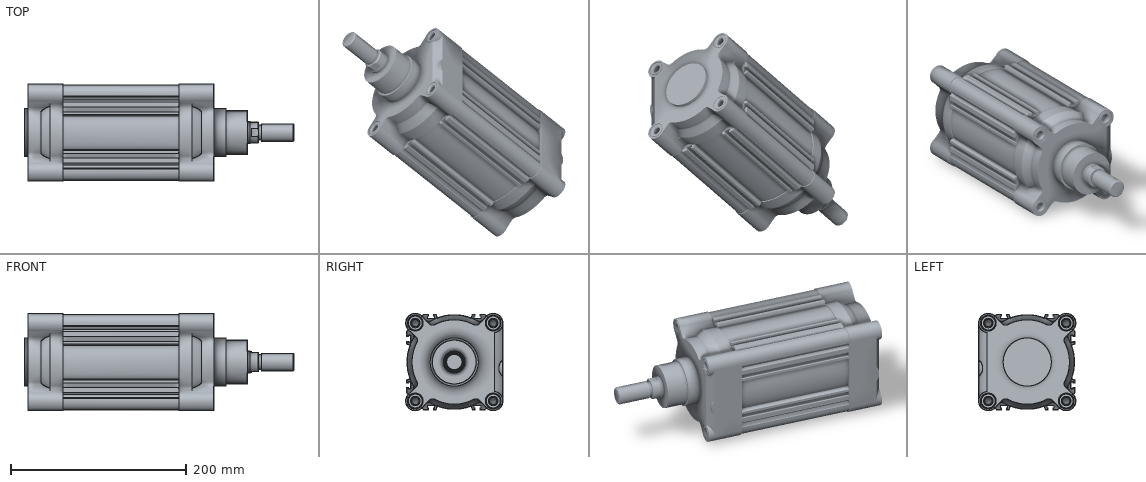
import cadquery as cq
import math


REAR_PILOT_LENGTH = 4.0
CAP_LENGTH = 40.0
BARREL_LENGTH = 132.5
FRONT_PILOT_LENGTH = 14.0
COLLAR_LENGTH = 24.2
OVERALL_LENGTH = 308.0

REAR_FACE = REAR_PILOT_LENGTH
BARREL_START = REAR_FACE + CAP_LENGTH
BARREL_END = BARREL_START + BARREL_LENGTH
FRONT_FACE = BARREL_END + CAP_LENGTH
COLLAR_START = FRONT_FACE + FRONT_PILOT_LENGTH
COLLAR_END = COLLAR_START + COLLAR_LENGTH

CORNER_OFFSET = 44.5
CAP_CORNER_RADIUS = 11.0
BARREL_CORNER_RADIUS = 10.0
CAP_HALF_WIDTH = CORNER_OFFSET + CAP_CORNER_RADIUS
BARREL_HALF_WIDTH = CORNER_OFFSET + BARREL_CORNER_RADIUS
CORNER_SIGNS = [(1, 1), (-1, 1), (-1, -1), (1, -1)]

CAP_FACE_RADIUS = 48.2
CAP_RIM_RADIUS = 54.0
CAP_RIM_LENGTH = 15.0
REAR_STRAIGHT_LENGTH = 14.8
FRONT_STRAIGHT_LENGTH = 14.0
CAP_ARM_HALF_WIDTH = 10.7
CAP_FILLET = 5.0
PILOT_RADIUS = 27.5
COLLAR_RADIUS = 25.0

SIDE_CHAMFER_DEPTH = 9.6
SIDE_CHAMFER_ANGLE = 35.0
PORT_BOSS_RADIUS = 16.5
PORT_BOSS_Z = -7.0

SCREW_HEAD_RADIUS = 8.0
SCREW_RECESS_RADIUS = 9.0
SCREW_RECESS_DEPTH = 1.0
SCREW_HOLE_RADIUS = 4.2
SCREW_HOLE_DEPTH = 20.0
SCREW_COUNTERSINK = 1.2
DRILL_POINT_ANGLE = 118.0

BARREL_RADIUS = 53.0
GROOVE_OUTER = 41.5
GROOVE_INNER = 37.3
RAIL_BEVEL = 2.4
RAIL_INNER = 20.8
RAIL_FOOT = 19.1
SLOT_CENTER = 26.5
SLOT_OPENING = 5.6
SLOT_WIDTH = 7.6
SLOT_LIP = 2.0
SLOT_DEPTH = 4.6

ROD_RADIUS = 12.5
ROD_EXPOSED_LENGTH = 2.8
SHANK_RADIUS = 12.0
SHANK_LENGTH = 10.0
SHANK_CHAMFER = 1.0
FLAT_LENGTH = 8.3
ACROSS_FLATS = 22.0
NECK_RADIUS = 8.8
NECK_LENGTH = 3.5
THREAD_RADIUS = 10.0
THREAD_CHAMFER = 1.2


def cylinder(radius, start, end, y=0.0, z=0.0):
    """Round bar along X between two X positions."""
    return cq.Workplane("YZ", origin=(start, y, z)).circle(radius).extrude(end - start)


def revolve_about_x(points, y=0.0, z=0.0):
    """Solid of revolution about X, from (x, radius) points."""
    return (
        cq.Workplane("XY", origin=(0, y, z))
        .polyline(points)
        .close()
        .revolve(360, (0, 0, 0), (1, 0, 0))
    )


def cap_section(round_radius, start, length):
    """Round body with a rounded arm on each diagonal, blended by fillets."""
    blend_radius = round_radius + CAP_FILLET
    blend_offset = CAP_ARM_HALF_WIDTH + CAP_FILLET
    blend_reach = math.sqrt(blend_radius**2 - blend_offset**2)
    corner_reach = CORNER_OFFSET * math.sqrt(2)
    arm_end = corner_reach - math.sqrt(CAP_CORNER_RADIUS**2 - CAP_ARM_HALF_WIDTH**2)
    across = -math.pi / 2
    to_axis = math.atan2(-blend_offset, -blend_reach)
    fillet_middle = (across + to_axis) / 2

    arm_point = (blend_reach, CAP_ARM_HALF_WIDTH)
    middle_point = (
        blend_reach + CAP_FILLET * math.cos(fillet_middle),
        blend_offset + CAP_FILLET * math.sin(fillet_middle),
    )
    round_scale = round_radius / blend_radius
    round_point = (blend_reach * round_scale, blend_offset * round_scale)

    def turned(point, angle, side=1):
        along, sideways = point[0], point[1] * side
        cosine, sine = math.cos(angle), math.sin(angle)
        return (along * cosine - sideways * sine, along * sine + sideways * cosine)

    first_angle = math.pi / 4
    outline = cq.Workplane("YZ", origin=(start, 0, 0)).moveTo(*turned(round_point, first_angle, -1))
    for quarter in range(4):
        angle = first_angle + quarter * math.pi / 2
        next_angle = angle + math.pi / 2
        outline = (
            outline.threePointArc(turned(middle_point, angle, -1), turned(arm_point, angle, -1))
            .lineTo(*turned((arm_end, CAP_ARM_HALF_WIDTH), angle, -1))
            .threePointArc(
                turned((corner_reach + CAP_CORNER_RADIUS, 0), angle),
                turned((arm_end, CAP_ARM_HALF_WIDTH), angle),
            )
            .lineTo(*turned(arm_point, angle))
            .threePointArc(turned(middle_point, angle), turned(round_point, angle))
            .threePointArc(
                turned((round_radius, 0), angle + math.pi / 4),
                turned(round_point, next_angle, -1),
            )
        )
    return outline.close().extrude(length)


def finish_flat_side(cap):
    """Fill the +Y side flush with the corners, chamfer its outer end and add the port boss."""
    chamfer_length = SIDE_CHAMFER_DEPTH * math.tan(math.radians(SIDE_CHAMFER_ANGLE))
    chamfer_start = CAP_HALF_WIDTH - SIDE_CHAMFER_DEPTH
    block = (
        cq.Workplane("YZ")
        .moveTo(0, 0)
        .lineTo(CORNER_OFFSET, CORNER_OFFSET)
        .lineTo(CAP_HALF_WIDTH, CORNER_OFFSET)
        .lineTo(CAP_HALF_WIDTH, -CORNER_OFFSET)
        .lineTo(CORNER_OFFSET, -CORNER_OFFSET)
        .close()
        .extrude(CAP_LENGTH)
    )
    wedge = (
        cq.Workplane("XY", origin=(0, 0, -CORNER_OFFSET))
        .moveTo(0, chamfer_start)
        .lineTo(0, CAP_HALF_WIDTH)
        .lineTo(chamfer_length, CAP_HALF_WIDTH)
        .close()
        .extrude(2 * CORNER_OFFSET)
    )
    port_boss = (
        cq.Workplane("XZ")
        .center(CAP_LENGTH / 2, PORT_BOSS_Z)
        .circle(PORT_BOSS_RADIUS)
        .extrude(-CAP_HALF_WIDTH)
    )
    finished = cap.union(block).cut(wedge).union(port_boss)
    for sign_z in (1, -1):
        finished = finished.union(
            cylinder(CAP_CORNER_RADIUS, 0, CAP_LENGTH, CORNER_OFFSET, sign_z * CORNER_OFFSET)
        )
    return finished


def screw_cut(y, z):
    """Ring gap around a tie screw head and the countersunk hole in the screw."""
    gap = cylinder(SCREW_RECESS_RADIUS, 0, SCREW_RECESS_DEPTH, y, z).cut(
        cylinder(SCREW_HEAD_RADIUS, 0, SCREW_RECESS_DEPTH, y, z)
    )
    point_length = SCREW_HOLE_RADIUS / math.tan(math.radians(DRILL_POINT_ANGLE / 2))
    hole = revolve_about_x(
        [
            (0, 0),
            (0, SCREW_HOLE_RADIUS + SCREW_COUNTERSINK),
            (SCREW_COUNTERSINK, SCREW_HOLE_RADIUS),
            (SCREW_HOLE_DEPTH, SCREW_HOLE_RADIUS),
            (SCREW_HOLE_DEPTH + point_length, 0),
        ],
        y,
        z,
    )
    return gap, hole


def make_cap(straight_length):
    """Cap with its outer face at X = 0 and the barrel side at X = CAP_LENGTH."""
    rim_start = CAP_LENGTH - CAP_RIM_LENGTH
    cone = revolve_about_x(
        [
            (straight_length, 0),
            (straight_length, CAP_FACE_RADIUS),
            (rim_start, CAP_RIM_RADIUS),
            (rim_start, 0),
        ]
    )
    cap = (
        cap_section(CAP_FACE_RADIUS, 0, CAP_LENGTH)
        .union(cone)
        .union(cap_section(CAP_RIM_RADIUS, rim_start, CAP_RIM_LENGTH))
    )
    cap = finish_flat_side(cap)
    for sign_y, sign_z in CORNER_SIGNS:
        for cutter in screw_cut(sign_y * CORNER_OFFSET, sign_z * CORNER_OFFSET):
            cap = cap.cut(cutter)
    return cap


def make_rear_cap():
    cap = make_cap(REAR_STRAIGHT_LENGTH).translate((REAR_FACE, 0, 0))
    return cap.union(cylinder(PILOT_RADIUS, 0, REAR_FACE))


def make_front_cap():
    """Mirrored cap with a pilot and collar, bored through for the rod."""
    cap = make_cap(FRONT_STRAIGHT_LENGTH).mirror("YZ").translate((FRONT_FACE, 0, 0))
    return (
        cap.union(cylinder(PILOT_RADIUS, FRONT_FACE, COLLAR_START))
        .union(cylinder(COLLAR_RADIUS, COLLAR_START, COLLAR_END))
        .cut(cylinder(ROD_RADIUS, BARREL_END, COLLAR_END))
    )


def make_barrel():
    """Round barrel with corner columns and a slotted rail on both sides of each column."""
    half_width = BARREL_HALF_WIDTH
    groove_floor = half_width - (GROOVE_OUTER - GROOVE_INNER)
    rail_outline = [
        (RAIL_FOOT, 0),
        (RAIL_FOOT, groove_floor),
        (RAIL_INNER, half_width),
        (GROOVE_INNER - RAIL_BEVEL, half_width),
        (GROOVE_INNER, half_width - RAIL_BEVEL),
        (GROOVE_INNER, groove_floor),
        (GROOVE_OUTER, half_width),
        (CORNER_OFFSET, half_width),
        (CORNER_OFFSET, CORNER_OFFSET),
    ]
    rail = (
        cq.Workplane("YZ", origin=(BARREL_START, 0, 0)).polyline(rail_outline).close().extrude(BARREL_LENGTH)
    )

    def slot_layer(width, depth):
        return (
            cq.Workplane("YZ", origin=(BARREL_START, SLOT_CENTER, half_width))
            .rect(width, 2 * depth)
            .extrude(BARREL_LENGTH)
        )

    lips = slot_layer(SLOT_WIDTH, SLOT_LIP).cut(slot_layer(SLOT_OPENING, SLOT_LIP))
    slot = slot_layer(SLOT_WIDTH, SLOT_DEPTH).cut(lips)

    barrel = cylinder(BARREL_RADIUS, BARREL_START, BARREL_END)
    for sign_y, sign_z in CORNER_SIGNS:
        barrel = barrel.union(
            cylinder(
                BARREL_CORNER_RADIUS, BARREL_START, BARREL_END, sign_y * CORNER_OFFSET, sign_z * CORNER_OFFSET
            )
        )
    slots = []
    for quarter in range(4):
        for handed_rail, handed_slot in [(rail, slot), (rail.mirror("XZ"), slot.mirror("XZ"))]:
            turn = ((0, 0, 0), (1, 0, 0), 90 * quarter)
            barrel = barrel.union(handed_rail.rotate(*turn))
            slots.append(handed_slot.rotate(*turn))
    for side_slot in slots:
        barrel = barrel.cut(side_slot)
    return barrel


def make_rod():
    """Rod from the barrel end to the threaded tip, with a necked shank and two spanner flats."""
    shank_start = COLLAR_END + ROD_EXPOSED_LENGTH
    shank_end = shank_start + SHANK_LENGTH
    thread_start = shank_end + NECK_LENGTH
    rod = revolve_about_x(
        [
            (BARREL_END, 0),
            (BARREL_END, ROD_RADIUS),
            (shank_start, ROD_RADIUS),
            (shank_start, SHANK_RADIUS),
            (shank_end - SHANK_CHAMFER, SHANK_RADIUS),
            (shank_end, SHANK_RADIUS - SHANK_CHAMFER),
            (shank_end, NECK_RADIUS),
            (thread_start, NECK_RADIUS),
            (thread_start, THREAD_RADIUS),
            (OVERALL_LENGTH - THREAD_CHAMFER, THREAD_RADIUS),
            (OVERALL_LENGTH, THREAD_RADIUS - THREAD_CHAMFER),
            (OVERALL_LENGTH, 0),
        ]
    )
    flat_middle = shank_end - FLAT_LENGTH / 2
    for side in (1, -1):
        flat_cut = cq.Workplane("XY").box(FLAT_LENGTH, 2 * SHANK_RADIUS, SHANK_RADIUS)
        rod = rod.cut(flat_cut.translate((flat_middle, 0, side * (ACROSS_FLATS + SHANK_RADIUS) / 2)))
    return rod


rear_cap = make_rear_cap()
barrel = make_barrel()
front_cap = make_front_cap()
rod = make_rod()

result = cq.Compound.makeCompound([rear_cap.val(), barrel.val(), front_cap.val(), rod.val()])